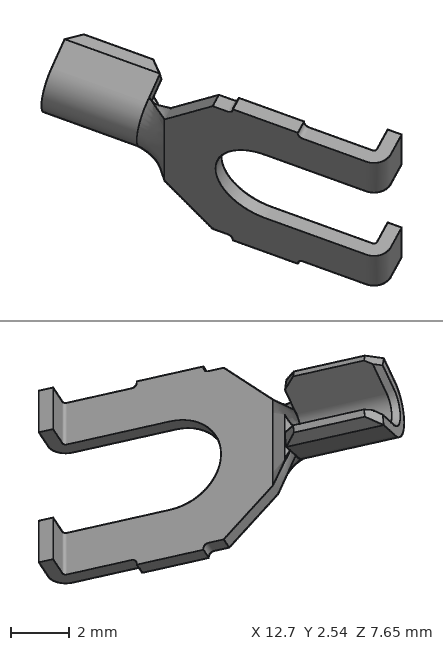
import cadquery as cq
import math


total_length = 12.7
total_depth = 2.54
total_width = 7.65
sheet_thickness = 0.52

plate_start_x = 4.57
fork_half_width = 3.58
neck_half_width = 1.79
ear_start_x = 7.1
ear_end_x = 9.52
ear_corner_radius = 0.19
slot_half_width = 1.84
slot_center_x = 8.3

tip_height = 1.52
bend_outer_radius = 0.64
bend_inner_radius = bend_outer_radius - sheet_thickness

barrel_length = 3.54
barrel_outer_radius = 1.14
barrel_inner_radius = barrel_outer_radius - sheet_thickness
arm_flare_deg = 15.0
arm_corner_chamfer = 0.48
arm_bevel_length = 0.48
arm_bevel_depth = 0.25
entry_chamfer_depth = 0.14
entry_chamfer_length = 0.25

flare_sin = math.sin(math.radians(arm_flare_deg))
flare_cos = math.cos(math.radians(arm_flare_deg))
arm_base_y = barrel_outer_radius * (1 - flare_sin)
arm_base_z = barrel_outer_radius * flare_cos
arm_length = (total_depth - arm_base_y - sheet_thickness * flare_sin) / flare_cos

neck_arm_reach = 0.2
crest_x = 4.09
crest_y = 0.69
ridge_half_width_at_barrel = 0.41
ridge_half_width_at_crest = 0.98
ridge_half_width_at_plate = 1.71


def extrude_back(sketch, depth):
    """Extrude an XZ sketch from Y = 0 toward +Y."""
    return sketch.extrude(-depth)


def make_plate():
    """Flat fork blank with the neck taper and side ears, before slotting."""
    half_width = total_width / 2
    taper_end_x = plate_start_x + fork_half_width - neck_half_width
    upper_side = [
        (plate_start_x, neck_half_width),
        (taper_end_x, fork_half_width),
        (ear_start_x, fork_half_width),
        (ear_start_x, half_width),
        (ear_end_x, half_width),
        (ear_end_x, fork_half_width),
        (total_length, fork_half_width),
    ]
    lower_side = [(x, -z) for x, z in reversed(upper_side)]
    outline = cq.Workplane("XZ").polyline(upper_side + lower_side).close()
    plate = extrude_back(outline, sheet_thickness)

    for ear_x in (ear_start_x, ear_end_x):
        for side in (1, -1):
            corner = cq.selectors.NearestToPointSelector(
                (ear_x, sheet_thickness / 2, side * fork_half_width)
            )
            plate = plate.edges("|Y").edges(corner).fillet(ear_corner_radius)
    return plate


def make_slot():
    """Open slot between the two prongs, round at its closed end."""
    slot_length = total_length - slot_center_x
    straight = (
        cq.Workplane("XZ")
        .center(slot_center_x + slot_length / 2, 0)
        .rect(slot_length, 2 * slot_half_width)
    )
    round_end = cq.Workplane("XZ").center(slot_center_x, 0).circle(slot_half_width)
    return extrude_back(straight, tip_height).union(extrude_back(round_end, tip_height))


def make_tips(plate):
    """Bend the end of the plate up into a wall and round the bend."""
    wall = cq.Workplane("XY").box(
        sheet_thickness, tip_height, 2 * fork_half_width, centered=(False, False, True)
    ).translate((total_length - sheet_thickness, 0, 0))
    bent = plate.union(wall)
    outer_edge = cq.selectors.NearestToPointSelector((total_length, 0, 0))
    inner_edge = cq.selectors.NearestToPointSelector(
        (total_length - sheet_thickness, sheet_thickness, 0)
    )
    bent = bent.edges("|Z").edges(outer_edge).fillet(bend_outer_radius)
    return bent.edges("|Z").edges(inner_edge).fillet(bend_inner_radius)


def make_trough():
    """Curved bottom of the barrel, up to where the straight arms begin."""
    inner_y = barrel_outer_radius - barrel_inner_radius * flare_sin
    inner_z = barrel_inner_radius * flare_cos
    trough = (
        cq.Workplane("YZ")
        .moveTo(arm_base_y, -arm_base_z)
        .threePointArc((0, 0), (arm_base_y, arm_base_z))
        .lineTo(inner_y, inner_z)
        .threePointArc((sheet_thickness, 0), (inner_y, -inner_z))
        .close()
        .extrude(barrel_length)
    )
    entry_cone = cq.Solid.makeCone(
        barrel_inner_radius + entry_chamfer_depth,
        barrel_inner_radius,
        entry_chamfer_length,
        cq.Vector(0, barrel_outer_radius, 0),
        cq.Vector(1, 0, 0),
    )
    return trough.cut(cq.Workplane(entry_cone))


def make_arm():
    """Upper barrel arm: chamfered corners and a bevelled outer free edge."""
    arm = cq.Workplane("XY").box(
        barrel_length, arm_length, sheet_thickness, centered=False
    ).translate((0, 0, -sheet_thickness))
    arm = arm.edges("|Z and >Y").chamfer(arm_corner_chamfer)
    bevel = (
        cq.Workplane("YZ")
        .moveTo(arm_length - arm_bevel_length, 0)
        .lineTo(arm_length, 0)
        .lineTo(arm_length, -arm_bevel_depth)
        .close()
        .extrude(barrel_length)
    )
    entry_chamfer = (
        cq.Workplane("XZ")
        .moveTo(0, entry_chamfer_depth - sheet_thickness)
        .lineTo(entry_chamfer_length, -sheet_thickness)
        .lineTo(0, -sheet_thickness)
        .close()
        .extrude(-arm_length)
    )
    arm = arm.cut(bevel).cut(entry_chamfer)
    return arm.rotate((0, 0, 0), (1, 0, 0), arm_flare_deg).translate((0, arm_base_y, arm_base_z))


def neck_wire(x, front_tip, back_tip, curved):
    """Neck outline at x from its upper (y, z) tips; the broad edges are arcs or straight."""
    upper_front = cq.Vector(x, *front_tip)
    upper_back = cq.Vector(x, *back_tip)
    lower_front = cq.Vector(x, front_tip[0], -front_tip[1])
    lower_back = cq.Vector(x, back_tip[0], -back_tip[1])
    if curved:
        front = cq.Edge.makeThreePointArc(lower_front, cq.Vector(x, 0, 0), upper_front)
        back = cq.Edge.makeThreePointArc(upper_back, cq.Vector(x, sheet_thickness, 0), lower_back)
    else:
        front = cq.Edge.makeLine(lower_front, upper_front)
        back = cq.Edge.makeLine(upper_back, lower_back)
    upper_side = cq.Edge.makeLine(upper_front, upper_back)
    lower_side = cq.Edge.makeLine(lower_back, lower_front)
    return cq.Wire.assembleEdges([front, upper_side, back, lower_side])


def make_neck():
    """Sheet that opens from the barrel's curved wall to the flat plate."""
    front_y = arm_base_y + neck_arm_reach * flare_cos
    front_z = arm_base_z + neck_arm_reach * flare_sin
    back_y = front_y + sheet_thickness * flare_sin
    back_z = front_z - sheet_thickness * flare_cos
    barrel_end = neck_wire(barrel_length, (front_y, front_z), (back_y, back_z), curved=True)
    plate_end = neck_wire(
        plate_start_x, (0, neck_half_width), (sheet_thickness, neck_half_width), curved=False
    )
    return cq.Workplane(cq.Solid.makeLoft([barrel_end, plate_end], True))


def make_neck_ridge():
    """Low ridge across the back of the neck, widening toward the plate."""
    base_y = sheet_thickness / 2
    stations = [
        (barrel_length, sheet_thickness, ridge_half_width_at_barrel),
        (crest_x, crest_y, ridge_half_width_at_crest),
        (plate_start_x, sheet_thickness, ridge_half_width_at_plate),
    ]
    outlines = []
    for x, top_y, half_width in stations:
        corners = [
            cq.Vector(x, base_y, -half_width),
            cq.Vector(x, base_y, half_width),
            cq.Vector(x, top_y, half_width),
            cq.Vector(x, top_y, -half_width),
        ]
        outlines.append(cq.Wire.makePolygon(corners, close=True))
    return cq.Workplane(cq.Solid.makeLoft(outlines, True))


upper_arm = make_arm()
barrel = make_trough().union(upper_arm).union(upper_arm.mirror("XY"))
fork = make_tips(make_plate()).cut(make_slot())
neck = make_neck().union(make_neck_ridge())
result = fork.union(neck).union(barrel)